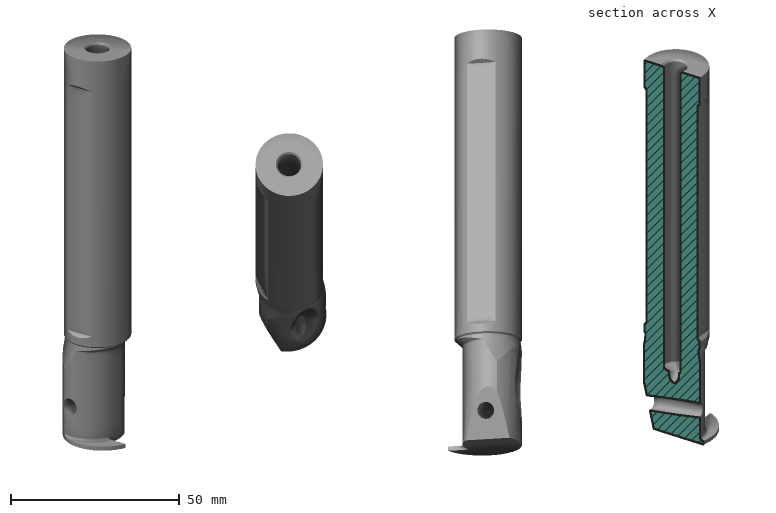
import cadquery as cq
import math


total_length = 124.72
shank_radius = 10.0
shank_bottom = 31.7
shank_chamfer = 0.5
flat_distance = 9.0
flat_bottom = 35.5
flat_top = 114.8

head_radius = 11.85
head_offset = 1.9
neck_radius = 10.0
neck_offset = -2.4
neck_top = 29.9
neck_flare = 3.0
root_radius = 0.8
taper_radius = 9.6
taper_angle = 8.2

lip_thickness = 1.3
lip_edge_y = -3.9

relief_angle = 13.0
relief_bottom_y = 6.5

pocket_radius = 6.4
pocket_y = -0.95
pocket_floor_x = -6.6
pocket_upper_z = 18.3
pocket_lower_z = 15.9
pocket_upper_angle = 15.5
pocket_lower_angle = 20.3

bore_radius = 3.5
bore_mouth_radius = 4.0
bore_bottom = 22.0
drill_half_angle = 59.0
outlet_radius = 1.65
outlet_start = (0, -0.9, 23.6)
outlet_exit = (-6.4, -0.3, 14.8)
cross_radius = 2.5
cross_entry = (-2.92, -10.0, 11.4)
cross_exit = (-1.2, 9.0, 8.2)

margin = 5.0


def cylinder(x, radius, bottom, top):
    """Upright cylinder centred on the X axis at x."""
    return cq.Workplane("XY", origin=(x, 0, bottom)).circle(radius).extrude(top - bottom)


def rod(start, end, radius, lead_in, overrun):
    """Round rod through two points, continued before start by lead_in and past end by overrun."""
    direction = (cq.Vector(*end) - cq.Vector(*start)).normalized()
    first = cq.Vector(*start) - direction * lead_in
    length = (cq.Vector(*end) - first).Length + overrun
    return cq.Workplane(obj=cq.Solid.makeCylinder(radius, length, first, direction))


def make_shank():
    """Round shank with a chamfered lower end and flats on the -Y and +Y sides."""
    shank = cylinder(0, shank_radius, shank_bottom, total_length)
    shank = shank.faces("<Z").chamfer(shank_chamfer)
    ramp = margin
    flat_profile = [
        (flat_distance, flat_bottom),
        (flat_distance, flat_top),
        (flat_distance + ramp, flat_top + ramp),
        (flat_distance + ramp, flat_bottom - ramp),
    ]
    cutter = (
        cq.Workplane("YZ").polyline(flat_profile).close().extrude(shank_radius, both=True)
    )
    return shank.cut(cutter).cut(cutter.mirror("XZ"))


def make_neck():
    """Round neck, flared at the top and filleted out to the lip at the bottom."""
    root_top = lip_thickness + root_radius
    arc_inset = root_radius * (1 - math.sqrt(0.5))
    flare_top = neck_top + neck_flare
    flare_radius = neck_radius + neck_flare
    neck = (
        cq.Workplane("XZ")
        .moveTo(0, lip_thickness)
        .lineTo(neck_radius + root_radius, lip_thickness)
        .threePointArc(
            (neck_radius + arc_inset, lip_thickness + arc_inset),
            (neck_radius, root_top),
        )
        .lineTo(neck_radius, neck_top)
        .lineTo(flare_radius, flare_top)
        .lineTo(0, flare_top)
        .close()
        .revolve(360, (0, 0, 0), (0, 1, 0))
        .translate((neck_offset, 0, 0))
    )
    lip = cylinder(head_offset, head_radius, 0, lip_thickness)
    body = neck.union(lip)

    size = 2 * head_radius + margin
    behind_lip = (
        cq.Workplane("XY")
        .box(size, size, root_top, centered=(True, False, False))
        .translate((head_offset, lip_edge_y, 0))
    )
    return body.cut(behind_lip).union(cylinder(neck_offset, neck_radius, 0, neck_top))


def make_taper():
    """Collar that is narrowest at the shank and widens downward."""
    bottom_radius = taper_radius + shank_bottom * math.tan(math.radians(taper_angle))
    profile = [(0, 0), (bottom_radius, 0), (taper_radius, shank_bottom), (0, shank_bottom)]
    return cq.Workplane("XZ").polyline(profile).close().revolve(360, (0, 0, 0), (0, 1, 0))


def make_relief_cutter():
    """Wedge outside a plane that leans outward going up and leaves the head below the shank."""
    slope = math.tan(math.radians(relief_angle))
    wedge_top = shank_bottom - margin
    outer_y = relief_bottom_y + wedge_top * slope
    profile = [
        (relief_bottom_y - margin * slope, -margin),
        (outer_y, -margin),
        (outer_y, wedge_top),
    ]
    return cq.Workplane("YZ").polyline(profile).close().extrude(2 * head_radius, both=True)


def make_head():
    """Neck and lip trimmed by the taper, the eccentric cylinder and the relief."""
    head = make_neck().intersect(make_taper())
    head = head.intersect(cylinder(head_offset, head_radius, 0, shank_bottom))
    return head.cut(make_relief_cutter())


def make_pocket():
    """Channel of round section: vertical in the middle, leaning outward above and below."""
    axis_x = pocket_floor_x - pocket_radius
    reach = shank_bottom
    upper_run = reach * math.tan(math.radians(pocket_upper_angle))
    lower_run = reach * math.tan(math.radians(pocket_lower_angle))
    axis_points = [
        (axis_x - upper_run, pocket_upper_z + reach),
        (axis_x, pocket_upper_z),
        (axis_x, pocket_lower_z),
        (axis_x - lower_run, pocket_lower_z - reach),
    ]
    path = cq.Workplane("XZ", origin=(0, pocket_y, 0)).polyline(axis_points)
    start = (axis_points[0][0], pocket_y, axis_points[0][1])
    section_plane = cq.Plane(origin=start, normal=(upper_run, 0, -reach))
    return cq.Workplane(section_plane).circle(pocket_radius).sweep(path, transition="right")


def make_bore():
    """Blind bore from the top with a countersunk mouth and a drill-point end."""
    tip = bore_bottom - bore_radius / math.tan(math.radians(drill_half_angle))
    mouth_depth = bore_mouth_radius - bore_radius
    profile = [
        (0, tip),
        (bore_radius, bore_bottom),
        (bore_radius, total_length - mouth_depth),
        (bore_mouth_radius, total_length),
        (0, total_length),
    ]
    return cq.Workplane("XZ").polyline(profile).close().revolve(360, (0, 0, 0), (0, 1, 0))


def make_outlet():
    """Coolant passage from the tip of the bore down into the pocket."""
    return rod(outlet_start, outlet_exit, outlet_radius, 0, 2 * margin)


def make_cross_hole():
    """Hole from the -Y side through the head, sloping down to the relief face."""
    return rod(cross_entry, cross_exit, cross_radius, margin, margin)


result = make_shank().union(make_head())
result = result.cut(make_pocket())
result = result.cut(make_bore())
result = result.cut(make_outlet())
result = result.cut(make_cross_hole())